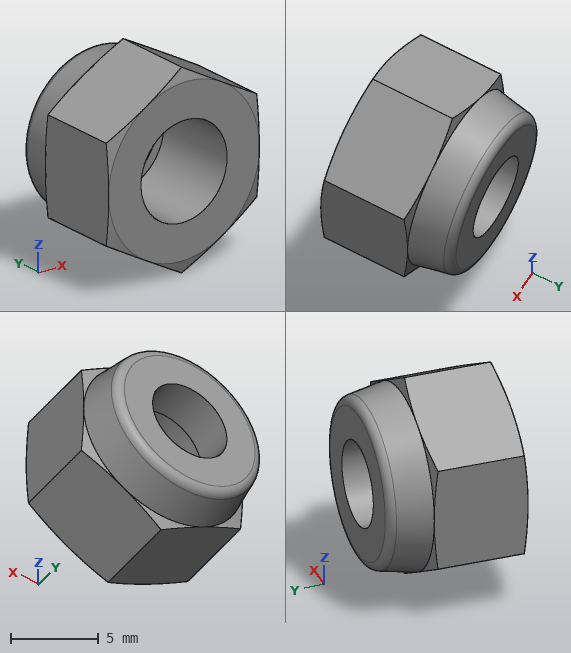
import cadquery as cq
import math

across_corners = 12.83
across_flats = across_corners * math.cos(math.radians(30))
nut_height = 8.33
hex_height = 5.71
chamfer_angle = 15.0

collar_taper_angle = 11.0
collar_edge_radius = 0.59

bore_diameter = 6.35
insert_diameter = 5.18

corner_radius = across_corners / 2
flat_radius = across_flats / 2
chamfer_height = (corner_radius - flat_radius) * math.tan(math.radians(chamfer_angle))


def cylinder_along_y(diameter, start, end):
    """Cylinder on the nut axis between two Y positions."""
    return cq.Workplane("XZ", origin=(0, start, 0)).circle(diameter / 2).extrude(start - end)


def revolve_about_y(profile):
    """Full turn of a closed (radius, Y) profile about the nut axis."""
    return profile.close().revolve(360, (0, 0, 0), (0, 1, 0))


def hex_body():
    """Hexagon with corners on Z, both ends chamfered down to the flats."""
    prism = (
        cq.Workplane("XZ")
        .polygon(6, across_corners)
        .extrude(-hex_height)
        .rotate((0, 0, 0), (0, 1, 0), 90)
    )
    envelope = revolve_about_y(
        cq.Workplane("XY")
        .moveTo(0, 0)
        .lineTo(flat_radius, 0)
        .lineTo(corner_radius, chamfer_height)
        .lineTo(corner_radius, hex_height - chamfer_height)
        .lineTo(flat_radius, hex_height)
        .lineTo(0, hex_height)
    )
    return prism.intersect(envelope)


def collar():
    """Tapered collar that holds the insert, with a rounded outer edge."""
    collar_height = nut_height - hex_height
    top_radius = flat_radius - collar_height * math.tan(math.radians(collar_taper_angle))
    cone = revolve_about_y(
        cq.Workplane("XY")
        .moveTo(0, hex_height)
        .lineTo(flat_radius, hex_height)
        .lineTo(top_radius, nut_height)
        .lineTo(0, nut_height)
    )
    return cone.faces(">Y").edges().fillet(collar_edge_radius)


bore = cylinder_along_y(bore_diameter, 0, hex_height)
insert_hole = cylinder_along_y(insert_diameter, 0, nut_height)

result = hex_body().union(collar()).cut(bore).cut(insert_hole)